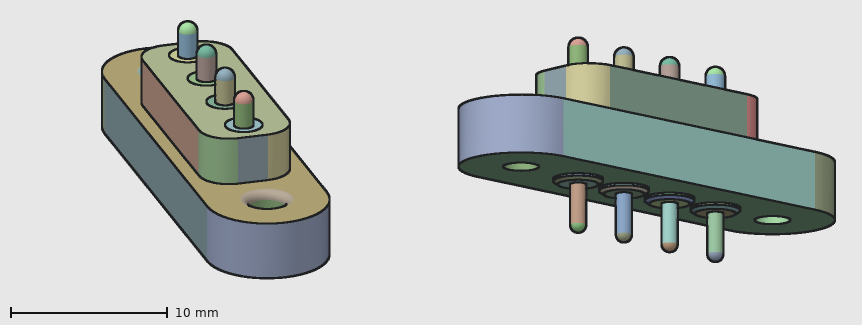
import cadquery as cq

plate_length = 30.0
plate_width = 8.0
plate_thickness = 3.8
block_length = 16.0
block_width = 6.0
block_height = 3.15
block_corner_radius = 2.0
housing_height = plate_thickness + block_height

mount_hole_diameter = 2.3
mount_mouth_radius = 0.55
mount_hole_spacing = plate_length - plate_width

pin_count = 4
pin_pitch = 4.0
barrel_diameter = 2.4
plunger_diameter = 1.27
plunger_projection = 2.3
collar_diameter = 3.2
collar_thickness = 0.36
collar_chamfer = 0.3
collar_chamfer_height = 0.2
tail_diameter = 1.05
tail_dome_height = 0.5
tail_projection = 3.53

pin_positions = [((i - (pin_count - 1) / 2) * pin_pitch, 0) for i in range(pin_count)]


def make_housing():
    plate = cq.Workplane("XY").slot2D(plate_length, plate_width).extrude(plate_thickness)
    block = (
        cq.Workplane("XY")
        .workplane(offset=plate_thickness)
        .rect(block_length, block_width)
        .extrude(block_height)
        .edges("|Z")
        .fillet(block_corner_radius)
    )
    pin_holes = (
        cq.Workplane("XY")
        .pushPoints(pin_positions)
        .circle(barrel_diameter / 2)
        .extrude(housing_height)
    )
    return plate.cut(make_mount_holes()).union(block).cut(pin_holes)


def make_mount_holes():
    """Cutters for the mounting holes, flaring outward along a convex arc at the plate top."""
    hole_radius = mount_hole_diameter / 2
    mouth_start = plate_thickness - mount_mouth_radius
    cutter = (
        cq.Workplane("XZ")
        .lineTo(hole_radius, 0)
        .lineTo(hole_radius, mouth_start)
        .radiusArc((hole_radius + mount_mouth_radius, plate_thickness), mount_mouth_radius)
        .lineTo(0, plate_thickness)
        .close()
        .revolve(360, (0, 0), (0, 1))
    )
    left = cutter.translate((-mount_hole_spacing / 2, 0, 0))
    right = cutter.translate((mount_hole_spacing / 2, 0, 0))
    return left.union(right)


def make_pin(position):
    """A turned pin: domed tail, bevelled collar, barrel flush with the block and domed plunger."""
    tail_radius = tail_diameter / 2
    barrel_radius = barrel_diameter / 2
    collar_radius = collar_diameter / 2
    plunger_radius = plunger_diameter / 2
    plunger_tip = housing_height + plunger_projection
    tail_dome_radius = (tail_radius**2 + tail_dome_height**2) / (2 * tail_dome_height)
    profile = (
        cq.Workplane("XZ")
        .moveTo(0, -tail_projection)
        .radiusArc((tail_radius, tail_dome_height - tail_projection), -tail_dome_radius)
        .lineTo(tail_radius, -collar_thickness)
        .lineTo(collar_radius - collar_chamfer, -collar_thickness)
        .lineTo(collar_radius, collar_chamfer_height - collar_thickness)
        .lineTo(collar_radius, 0)
        .lineTo(barrel_radius, 0)
        .lineTo(barrel_radius, housing_height)
        .lineTo(plunger_radius, housing_height)
        .lineTo(plunger_radius, plunger_tip - plunger_radius)
        .radiusArc((0, plunger_tip), -plunger_radius)
        .close()
    )
    return profile.revolve(360, (0, 0), (0, 1)).translate((*position, 0))


housing = make_housing()
pins = [make_pin(position) for position in pin_positions]

result = cq.Compound.makeCompound([housing.val(), *[pin.val() for pin in pins]])